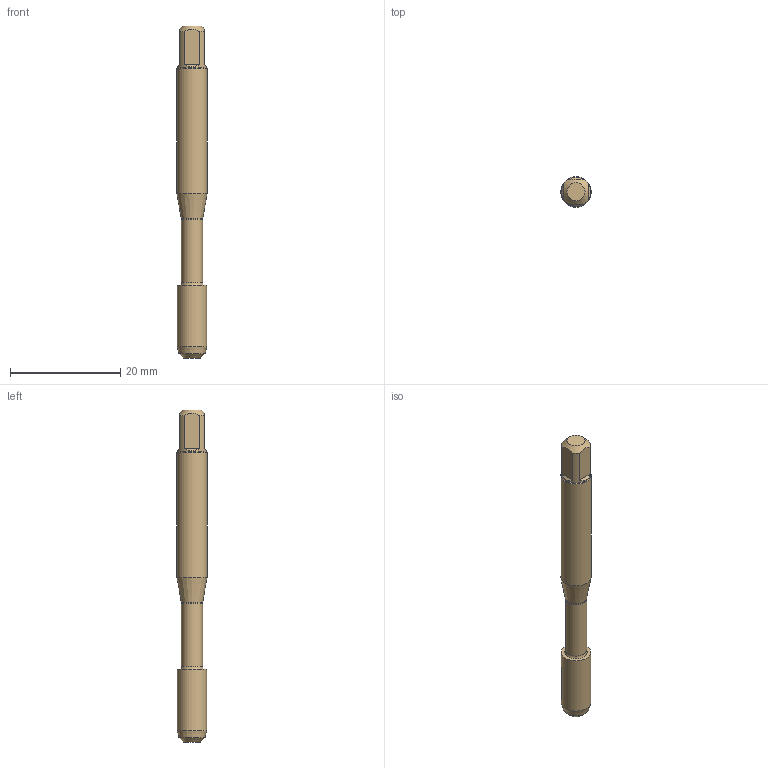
import cadquery as cq
import math

total_length = 60.2
thread_length = 13.2
neck_top = 25.2
shank_bottom = 29.85
shank_top = 52.5
flat_bottom = total_length - 7.0

thread_diameter = 5.33
lead_length = 2.0
nose_length = 0.75
nose_radius = 2.36
tip_radius = nose_radius - nose_length

shank_diameter = 5.5
neck_diameter = 3.86
drive_diameter = 5.28
drive_across_flats = 4.5
drive_chamfer = 1.0
blend_radius = 1.0
flare_height = 0.5

thread_radius = thread_diameter / 2
shank_radius = shank_diameter / 2
neck_radius = neck_diameter / 2
drive_radius = drive_diameter / 2


def revolve_profile(profile):
    """Turn a closed radius-height outline about the Z axis."""
    return profile.close().revolve(360, (0, 0, 0), (0, 1, 0))


def make_cutting_section():
    """Threaded end as a plain cylinder with a two-step tapered tip."""
    profile = (
        cq.Workplane("XZ")
        .lineTo(tip_radius, 0)
        .lineTo(nose_radius, nose_length)
        .lineTo(thread_radius, lead_length)
        .lineTo(thread_radius, thread_length)
        .lineTo(0, thread_length)
    )
    return revolve_profile(profile)


def flare_radius_at(height):
    """Radius of the flare at a height above the cutting section."""
    drop = flare_height - height
    return neck_radius + blend_radius - math.sqrt(blend_radius**2 - drop**2)


def make_turned_shank():
    """Neck, cone, shank and round drive end as one turned body."""
    flare_middle = flare_height / 2

    cone_angle = math.atan2(shank_radius - neck_radius, shank_bottom - neck_top)
    tangent_length = blend_radius * math.tan(cone_angle / 2)
    blend_bottom = neck_top - tangent_length
    blend_center = neck_radius + blend_radius

    def blend_point(angle):
        """Point on the blend arc, with the angle counted from its lower end."""
        return (
            blend_center - blend_radius * math.cos(angle),
            blend_bottom + blend_radius * math.sin(angle),
        )

    profile = (
        cq.Workplane("XZ")
        .moveTo(0, thread_length)
        .lineTo(flare_radius_at(0), thread_length)
        .threePointArc(
            (flare_radius_at(flare_middle), thread_length + flare_middle),
            (neck_radius, thread_length + flare_height),
        )
        .lineTo(*blend_point(0))
        .threePointArc(blend_point(cone_angle / 2), blend_point(cone_angle))
        .lineTo(shank_radius, shank_bottom)
        .lineTo(shank_radius, shank_top)
        .lineTo(drive_radius, shank_top + shank_radius - drive_radius)
        .lineTo(drive_radius, total_length - drive_chamfer)
        .lineTo(drive_radius - drive_chamfer, total_length)
        .lineTo(0, total_length)
    )
    return revolve_profile(profile)


def make_flat_cutter():
    """Block outside one drive flat, with a 45 degree run-out at its lower end."""
    flat_offset = drive_across_flats / 2
    depth = shank_radius
    return (
        cq.Workplane("XZ")
        .moveTo(flat_offset, flat_bottom)
        .lineTo(flat_offset + depth, flat_bottom - depth)
        .lineTo(flat_offset + depth, total_length)
        .lineTo(flat_offset, total_length)
        .close()
        .extrude(shank_radius, both=True)
    )


def make_shank():
    """Turned shank with the four drive flats cut at its upper end."""
    shank = make_turned_shank()
    for side in range(4):
        cutter = make_flat_cutter().rotate((0, 0, 0), (0, 0, 1), 90 * side)
        shank = shank.cut(cutter)
    return shank


cutting_section = make_cutting_section()
shank = make_shank()

result = cq.Compound.makeCompound([cutting_section.val(), shank.val()])